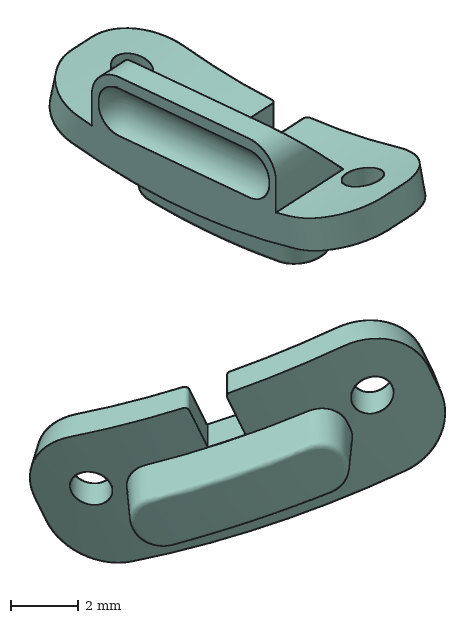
import cadquery as cq
import math

length = 12.62
width = 4.9
thickness = 1.09
outer_radius = 20.95
inner_radius = outer_radius - thickness
end_tilt = 12
corner_radius = 2.0
front_y = -width / 2
overlap = 0.63

hole_diameter = 1.26
hole_x = 4.5
hole_y = 0.45
notch_width = 1.21
notch_floor_y = 0.86
notch_corner_radius = 0.15

boss_width = 7.19
boss_top = 3.6
boss_top_depth = 0.9
boss_corner_radius = 1.06

hollow_straight = 5.07
hollow_floor_height = 0.09
hollow_z = 2.35
hollow_radius = 0.86
hollow_depth = 0.54
fillet_clearance = 0.01

peg_length = 6.81
peg_width = 1.84
peg_depth = 1.69
peg_y = -0.158
peg_draft = 2.6
peg_corner_radius = 0.9
peg_edge_radius = 0.16


def cylinder_along_y(radius):
    """Cylinder coaxial with the plate's curvature."""
    return (
        cq.Workplane("XZ", origin=(0, width, outer_radius))
        .circle(radius)
        .extrude(2 * width)
    )


def end_outline(side):
    """Block, leaning with the plate end, that rounds the two corners on one side (+1 or -1)."""
    tilt = math.radians(end_tilt)
    tip_z = outer_radius - math.sqrt(outer_radius**2 - (length / 2) ** 2)
    reach = 0.6 * length
    plane = cq.Plane(
        origin=(side * length / 2, 0, tip_z),
        xDir=(math.cos(tilt), 0, side * math.sin(tilt)),
        normal=(-side * math.sin(tilt), 0, math.cos(tilt)),
    )
    end_edges = ">X" if side > 0 else "<X"
    block = cq.Workplane("XY").box(reach, width, length)
    block = block.faces(end_edges).edges("|Z").fillet(corner_radius)
    block = block.translate((-side * reach / 2, 0, 0))
    return cq.Workplane(plane).newObject([block.val().moved(plane.location)])


def make_plate():
    slab = cq.Workplane("XY").box(2 * length, width, outer_radius)
    shell = cylinder_along_y(outer_radius).cut(cylinder_along_y(inner_radius))
    right_half = shell.intersect(slab).intersect(end_outline(1))
    left_half = shell.intersect(slab).intersect(end_outline(-1))
    return right_half.union(left_half)


def make_boss():
    block = (
        cq.Workplane("XY", origin=(0, front_y, 0))
        .box(boss_width, width, boss_top, centered=(True, False, False))
        .edges("|Y and >Z")
        .fillet(boss_corner_radius)
    )
    back_top_y = front_y + boss_top_depth
    wedge = (
        cq.Workplane("YZ", origin=(-boss_width / 2, 0, 0))
        .moveTo(front_y, 0)
        .lineTo(front_y, boss_top)
        .lineTo(back_top_y, boss_top)
        .lineTo(back_top_y + boss_top, 0)
        .close()
        .extrude(boss_width)
    )
    return block.intersect(wedge).intersect(cylinder_along_y(outer_radius))


def make_hollow():
    """Fully rounded block set partly in front of the boss, so that only its back cuts in."""
    block_width = hollow_straight + 2 * hollow_radius
    block_height = hollow_floor_height + 2 * hollow_radius
    block_depth = 2 * hollow_radius + fillet_clearance
    centre_y = front_y + hollow_depth - block_depth / 2
    return (
        cq.Workplane("XY", origin=(0, centre_y, hollow_z))
        .box(block_width, block_depth, block_height)
        .edges()
        .fillet(hollow_radius)
    )


def make_peg():
    height = peg_depth + overlap
    growth = 2 * height * math.tan(math.radians(peg_draft))
    lower = cq.Sketch().rect(peg_length, peg_width).vertices().fillet(peg_corner_radius)
    upper = (
        cq.Sketch()
        .rect(peg_length + growth, peg_width + growth)
        .vertices()
        .fillet(peg_corner_radius)
    )
    peg = (
        cq.Workplane("XY", origin=(0, peg_y, -peg_depth))
        .placeSketch(lower, upper.moved(cq.Location(cq.Vector(0, 0, height))))
        .loft()
    )
    peg = peg.intersect(cylinder_along_y(outer_radius + peg_depth))
    return peg.faces("<Z").edges().fillet(peg_edge_radius)


def make_notch():
    """Notch cutter: a slot whose mouth flares with rounded corners at the rear edge."""
    half = notch_width / 2
    rear_y = width / 2
    flare = half + notch_corner_radius
    bend_y = rear_y - notch_corner_radius
    return (
        cq.Workplane("XY")
        .moveTo(-half, notch_floor_y)
        .lineTo(half, notch_floor_y)
        .lineTo(half, bend_y)
        .radiusArc((flare, rear_y), notch_corner_radius)
        .lineTo(flare, rear_y + overlap)
        .lineTo(-flare, rear_y + overlap)
        .lineTo(-flare, rear_y)
        .radiusArc((-half, bend_y), notch_corner_radius)
        .close()
        .extrude(boss_top)
    )


def make_holes():
    return (
        cq.Workplane("XY")
        .pushPoints([(-hole_x, hole_y), (hole_x, hole_y)])
        .circle(hole_diameter / 2)
        .extrude(boss_top)
    )


peg = make_peg().cut(cylinder_along_y(inner_radius))
result = make_plate().union(make_boss()).union(peg)
result = result.cut(make_hollow()).cut(make_notch()).cut(make_holes())